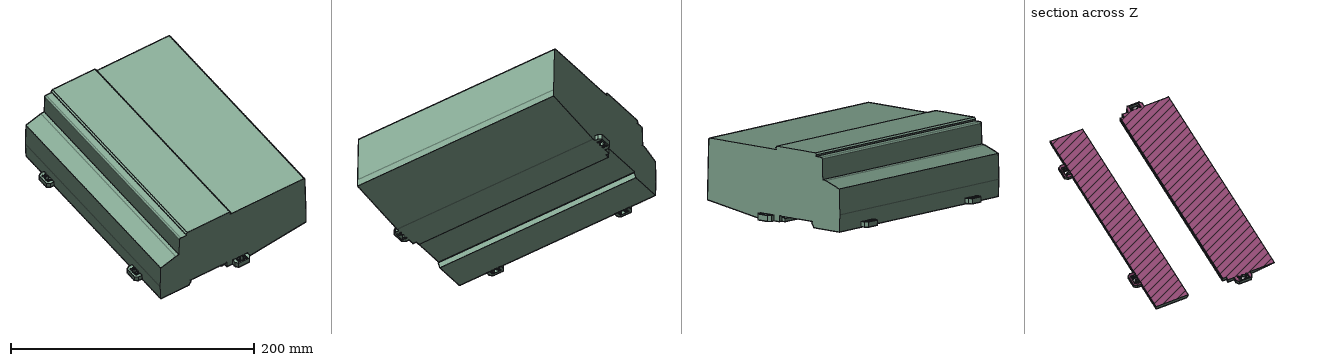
import cadquery as cq

overall_width = 210.0
housing_width = 198.2
housing_depth = 145.1
housing_height = 63.2

parting_height = 14.7
wall_draft = 0.6
rear_lean = 1.3
front_step_height = 36.3
ledge_height = 41.4
ledge_rise = 0.5
ledge_front = 15.5
ledge_rear = 18.7
upper_wall_lean = 0.6
shelf_height = 60.3
shelf_front_radius = 1.3
shelf_rear_bevel = 1.0
raised_front = 25.6
raised_rear = 70.4
raised_bevel_run = 1.3
raised_bevel_height = 1.5
raised_undercut = 0.6
rear_toe_height = 8.0
heel_depth = 89.0

slot_front = 30.2
slot_rear = 66.4
slot_height = 5.0
slot_nose = 0.6
slot_flare_run = 2.3
slot_flare_height = 3.8
lip_reach = 3.5
lip_root_height = 3.8
lip_tip_height = 2.7
lip_setback = 3.2

loop_width = 14.7
loop_bevel_along = 1.9
loop_bevel_out = 2.5
window_width = 8.6
loop_top = slot_height
loop_reach = (overall_width - housing_width) / 2
ear_wall = 1.5
ear_hook_reach = 3.0
ear_depth_position = 79.4
clip_wall = 2.0
clip_hook_reach = 2.5
clip_bottom = 0.6
clip_spacing = 129.4

slit_reach = 1.5
leg_thickness = 1.0
slanted_tip_gap = 2.0
slanted_root_gap = 0.5
straight_gap = 1.3

overlap = 2.0


def make_housing_block():
    shelf_front = ledge_rear + upper_wall_lean
    shelf_rear = housing_depth - rear_lean
    outline = [
        (wall_draft, 0),
        (0, parting_height),
        (wall_draft, front_step_height),
        (ledge_front, ledge_height),
        (ledge_rear, ledge_height + ledge_rise),
        (shelf_front, shelf_height),
        (raised_front + raised_undercut, shelf_height),
        (raised_front, housing_height - raised_bevel_height),
        (raised_front + raised_bevel_run, housing_height),
        (raised_rear - raised_bevel_run, housing_height),
        (raised_rear, housing_height - raised_bevel_height),
        (raised_rear - raised_undercut, shelf_height),
        (shelf_rear - shelf_rear_bevel, shelf_height),
        (shelf_rear, shelf_height - shelf_rear_bevel),
        (housing_depth, parting_height),
        (housing_depth, rear_toe_height),
        (heel_depth, 0),
        (slot_rear, 0),
        (slot_rear, slot_height),
        (slot_front, slot_height),
        (slot_front + slot_nose, slot_flare_height),
        (slot_front + slot_nose - slot_flare_run, 0),
    ]
    block = cq.Workplane("YZ").polyline(outline).close().extrude(housing_width / 2, both=True)
    front_edge = cq.selectors.NearestToPointSelector((0, shelf_front, shelf_height))
    return block.edges(front_edge).fillet(shelf_front_radius)


def make_rail_lip():
    outline = [
        (slot_rear, 0),
        (slot_rear, lip_root_height),
        (slot_rear - lip_reach, lip_tip_height),
        (slot_rear - lip_reach, 0),
    ]
    half_length = housing_width / 2 - lip_setback
    return cq.Workplane("YZ").polyline(outline).close().extrude(half_length, both=True)


def make_hook(side, tip_gap, root_gap, hook_reach, thickness):
    """Finger from the loop's arm with a leg that turns back to the wall."""
    slit_edge = tip_gap + leg_thickness
    finger_root = window_width / 2 + overlap
    outline = [
        (finger_root, hook_reach),
        (tip_gap, hook_reach),
        (tip_gap, slit_reach),
        (root_gap, 0),
        (root_gap, -overlap),
        (slit_edge, -overlap),
        (slit_edge, slit_reach),
        (finger_root, slit_reach),
    ]
    points = [(side * along, -out) for along, out in outline]
    return cq.Workplane("XY").polyline(points).close().extrude(thickness)


def make_loop(wall, hooks, thickness):
    """Bevelled loop standing out toward -Y from a wall at Y = 0, with hooks in its window."""
    half_width = loop_width / 2
    outline = [
        (-half_width, overlap),
        (-half_width, loop_bevel_out - loop_reach),
        (loop_bevel_along - half_width, -loop_reach),
        (half_width - loop_bevel_along, -loop_reach),
        (half_width, loop_bevel_out - loop_reach),
        (half_width, overlap),
    ]
    window_length = loop_reach - wall + overlap
    window = (
        cq.Workplane("XY")
        .center(0, overlap - window_length / 2)
        .rect(window_width, window_length)
        .extrude(thickness)
    )
    loop = cq.Workplane("XY").polyline(outline).close().extrude(thickness).cut(window)
    for hook in hooks:
        loop = loop.union(hook)
    return loop


def make_housing():
    housing = make_housing_block().union(make_rail_lip())
    hooks = [
        make_hook(side, slanted_tip_gap, slanted_root_gap, ear_hook_reach, loop_top) for side in (-1, 1)
    ]
    ear = make_loop(ear_wall, hooks, loop_top)
    for side in (-1, 1):
        turned = ear.rotate((0, 0, 0), (0, 0, 1), side * 90)
        housing = housing.union(turned.translate((side * housing_width / 2, ear_depth_position, 0)))
    return housing


def make_clip(side, housing):
    """Front clip, flush on the drafted wall; its slanted hook is the one nearer the middle."""
    thickness = loop_top - clip_bottom
    hooks = [
        make_hook(side, straight_gap, straight_gap, clip_hook_reach, thickness),
        make_hook(-side, slanted_tip_gap, slanted_root_gap, clip_hook_reach, thickness),
    ]
    loop = make_loop(clip_wall, hooks, thickness)
    return loop.translate((side * clip_spacing / 2, 0, clip_bottom)).cut(housing)


housing = make_housing()
clips = [make_clip(side, housing) for side in (-1, 1)]

result = cq.Compound.makeCompound([housing.val(), *[clip.val() for clip in clips]])